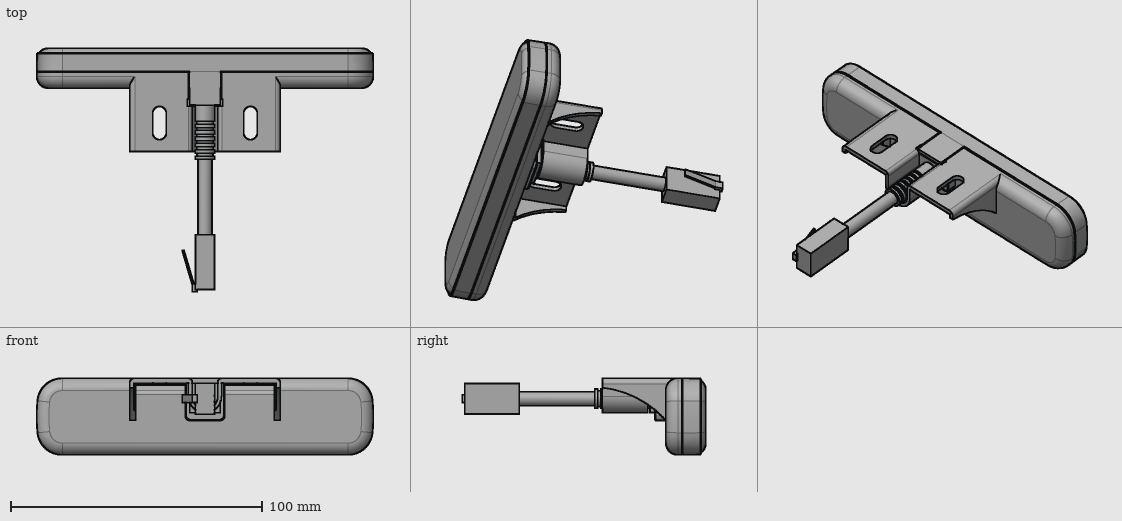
import cadquery as cq
import math


LENGTH = 134.1
HEIGHT = 30.6
TOP = HEIGHT / 2
END_CORNER_DEPTH = 10.2
END_CORNER_RADIUS = 9.9

LENS_DEPTH = 1.9
SEAM_FRONT = 9.1
SEAM_GAP = 0.4
SEAM_INSET = 0.4
BACK_DEPTH = 16.0
BRACKET_DEPTH = 41.2

COVER_DRAFT = 1.0
RIM_CHAMFER = 0.4
LENS_INSET = 0.3
LENS_ROUND = 4.3
TONGUE_WIDTH = 12.5
TONGUE_END = 22.7

BACK_ROUND = 4.8
BRACKET_WIDTH = 60.1
BRACKET_ROUND = 2.1
PLATE = 2.0
SIDE_WALL = 1.6
SIDE_WALL_DROP = 16.8
SIDE_WALL_TIP_DROP = 3.8
SIDE_ARC_MID = (-26.7, 8.3)
STEP = 0.4
STEP_COUNT = 2
STEP_END = 20.2
SLOT_PITCH = 36.2
SLOT_LENGTH = 13.1
SLOT_WIDTH = 5.4
SLOT_DEPTH = 29.8
RECESS_DROP = 6.5
RECESS_SLOPE_DROP = 4.8
RECESS_TOP_DROP = PLATE + STEP_COUNT * STEP
RECESS_ANGLE = 45.0

CHANNEL_OUTER = 6.6
CHANNEL_WALL = 1.5
CHANNEL_INNER = CHANNEL_OUTER - CHANNEL_WALL
CHANNEL_CENTRE = TOP - 7.2
CHANNEL_START = 23.0
CHANNEL_LIP_ROUND = 1.6
COLLAR_WIDTH = 15.8
COLLAR_DROP = 16.9
COLLAR_ROUND = 2.0
NOTCH_WIDTH = 14.1

CABLE_Z = TOP - 8.2
CABLE_RADIUS = 2.8
BLOCK_WIDTH = 12.1
BLOCK_DROP = 13.7
BLOCK_END = 22.3
BOOT_RADIUS = 3.9
BOOT_NECK_RADIUS = 3.2
BOOT_END = 44.2
GROOVE_COUNT = 6
GROOVE_START = 29.1
GROOVE_PITCH = 2.5
GROOVE_WIDTH = 1.1
PLUG_WIDTH = 7.6
PLUG_HEIGHT = 12.2
PLUG_START = 74.2
PLUG_END = 96.0
LATCH_END = 97.0
LATCH_HEIGHT = 3.2
LATCH_FOOT_START = 93.9
LATCH_FOOT_OUT = 1.3
LATCH_FOOT_LAP = 0.7
LATCH_TIP_X = -9.1
LATCH_TIP_Y = -80.5
LATCH_THICKNESS = 0.8


def box(x_range, y_range, z_range):
    """Axis-aligned box between pairs of limits."""
    corner = cq.Vector(min(x_range), min(y_range), min(z_range))
    size = [abs(a - b) for a, b in (x_range, y_range, z_range)]
    return cq.Workplane(cq.Solid.makeBox(*size, corner))


def centred_box(width, y_range, z_range):
    return box((-width / 2, width / 2), y_range, z_range)


def bar_outline(y, inset=0.0):
    """Bar outline in the XZ plane at the given Y, with gently bulged ends; it extrudes toward -Y."""
    half_length = LENGTH / 2 - inset
    half_height = HEIGHT / 2 - inset
    radius = END_CORNER_RADIUS - inset
    depth = END_CORNER_DEPTH - inset
    centre_x = half_length - depth
    centre_z = half_height - radius
    end_radius = (depth**2 + centre_z**2 - radius**2) / (2 * (depth - radius))
    joint_angle = math.atan2(centre_z, centre_x - (half_length - end_radius))
    middle_angle = (joint_angle + math.pi / 2) / 2

    def on_corner(angle):
        return centre_x + radius * math.cos(angle), centre_z + radius * math.sin(angle)

    joint_x, joint_z = on_corner(joint_angle)
    middle_x, middle_z = on_corner(middle_angle)
    return (
        cq.Workplane("XZ", origin=(0, y, 0))
        .moveTo(-centre_x, half_height)
        .lineTo(centre_x, half_height)
        .threePointArc((middle_x, middle_z), (joint_x, joint_z))
        .threePointArc((half_length, 0), (joint_x, -joint_z))
        .threePointArc((middle_x, -middle_z), (centre_x, -half_height))
        .lineTo(-centre_x, -half_height)
        .threePointArc((-middle_x, -middle_z), (-joint_x, -joint_z))
        .threePointArc((-half_length, 0), (-joint_x, joint_z))
        .threePointArc((-middle_x, middle_z), (-centre_x, half_height))
        .close()
    )


def make_front_cover():
    """Cover with domed lens, a core that spans the seam groove, and a tongue over the cable block."""
    rim = bar_outline(-SEAM_FRONT).extrude(-(SEAM_FRONT - LENS_DEPTH), taper=COVER_DRAFT)
    rim = rim.faces(">Y").chamfer(RIM_CHAMFER)
    lens = bar_outline(0, LENS_INSET).extrude(SEAM_FRONT).faces(">Y").edges().fillet(LENS_ROUND)
    lens = lens.intersect(centred_box(LENGTH, (0, -LENS_DEPTH - RIM_CHAMFER), (-TOP, TOP)))
    core = bar_outline(-SEAM_FRONT, SEAM_INSET).extrude(SEAM_GAP)
    tongue = centred_box(TONGUE_WIDTH, (-SEAM_FRONT, -TONGUE_END), (TOP - PLATE, TOP))
    return rim.union(lens).union(core).union(tongue)


def make_bracket():
    """Plate with two side walls whose lower edges sweep up toward the free end."""
    arc_y, arc_drop = SIDE_ARC_MID
    start_y = -SEAM_FRONT - SEAM_GAP
    bracket = (
        cq.Workplane("YZ", origin=(-BRACKET_WIDTH / 2, 0, 0))
        .moveTo(start_y, TOP)
        .lineTo(start_y, TOP - SIDE_WALL_DROP)
        .lineTo(-BACK_DEPTH, TOP - SIDE_WALL_DROP)
        .threePointArc((arc_y, TOP - arc_drop), (-BRACKET_DEPTH, TOP - SIDE_WALL_TIP_DROP))
        .lineTo(-BRACKET_DEPTH, TOP)
        .close()
        .extrude(BRACKET_WIDTH)
    )
    bracket = bracket.edges("|Y and >Z").fillet(BRACKET_ROUND)
    for step in range(STEP_COUNT + 1):
        thicker = step * STEP
        near = -BACK_DEPTH if step == STEP_COUNT else -STEP_END + thicker
        width = BRACKET_WIDTH - 2 * (SIDE_WALL + thicker)
        hollow = centred_box(width, (near, -BRACKET_DEPTH), (-TOP, TOP - PLATE - thicker))
        bracket = bracket.cut(hollow)
    return bracket


def make_recess():
    """Sloped relief cut into the housing's back, under the bracket plate."""
    run = RECESS_SLOPE_DROP - RECESS_TOP_DROP
    slope = math.radians(RECESS_ANGLE)
    arc_radius = (RECESS_DROP - RECESS_SLOPE_DROP) / math.sin(slope)
    slope_y = -BACK_DEPTH + arc_radius * (1 - math.cos(slope))
    width = BRACKET_WIDTH - 2 * (SIDE_WALL + STEP_COUNT * STEP)
    return (
        cq.Workplane("YZ", origin=(-width / 2, 0, 0))
        .moveTo(slope_y + run / math.tan(slope), TOP - RECESS_TOP_DROP)
        .lineTo(slope_y, TOP - RECESS_SLOPE_DROP)
        .tangentArcPoint((-BACK_DEPTH, TOP - RECESS_DROP), relative=False)
        .lineTo(-BACK_DEPTH, TOP - RECESS_TOP_DROP)
        .close()
        .extrude(width)
    )


def channel_profile(radius, y_start, y_end):
    """U-shaped prism, open at TOP, with a full-round bottom."""
    return (
        cq.Workplane("XZ", origin=(0, y_start, 0))
        .moveTo(-radius, TOP)
        .lineTo(-radius, CHANNEL_CENTRE)
        .threePointArc((0, CHANNEL_CENTRE - radius), (radius, CHANNEL_CENTRE))
        .lineTo(radius, TOP)
        .close()
        .extrude(y_start - y_end)
    )


def make_collar():
    """Stepped boss on the housing's back that holds the cable block."""
    start_y = -SEAM_FRONT - SEAM_GAP
    collar = None
    for step in range(STEP_COUNT):
        smaller = (STEP_COUNT - 1 - step) * STEP
        layer = centred_box(
            COLLAR_WIDTH - 2 * smaller,
            (start_y, -STEP_END + step * STEP),
            (TOP - COLLAR_DROP + smaller, TOP - BRACKET_ROUND),
        )
        layer = layer.edges("|Y and <Z").fillet(COLLAR_ROUND - smaller)
        collar = layer if collar is None else collar.union(layer)
    return collar


def make_block():
    """Rectangular cable anchor; also the tool for its own pocket."""
    return centred_box(BLOCK_WIDTH, (-BACK_DEPTH, -BLOCK_END), (TOP - BLOCK_DROP, TOP - PLATE))


def make_rear_housing():
    seam_back = -SEAM_FRONT - SEAM_GAP
    housing = bar_outline(seam_back).extrude(BACK_DEPTH + seam_back)
    housing = housing.faces("<Y").edges().fillet(BACK_ROUND)
    housing = housing.union(make_bracket()).cut(make_recess()).union(make_collar())
    housing = housing.union(channel_profile(CHANNEL_OUTER, -CHANNEL_START, -BRACKET_DEPTH))

    housing = housing.cut(channel_profile(CHANNEL_INNER, -CHANNEL_START, -BRACKET_DEPTH))
    lip_height = TOP - CHANNEL_LIP_ROUND
    lip_x = CHANNEL_INNER + CHANNEL_LIP_ROUND
    lip_cut = centred_box(2 * lip_x, (-CHANNEL_START, -BRACKET_DEPTH), (lip_height, TOP))
    for side in (-1, 1):
        lip_round = (
            cq.Workplane("XZ", origin=(side * lip_x, -CHANNEL_START, lip_height))
            .circle(CHANNEL_LIP_ROUND)
            .extrude(BRACKET_DEPTH - CHANNEL_START)
        )
        lip_cut = lip_cut.cut(lip_round)
    housing = housing.cut(lip_cut)

    tongue_slot_width = TONGUE_WIDTH + 2 * SEAM_GAP
    housing = housing.cut(centred_box(tongue_slot_width, (seam_back, -CHANNEL_START), (TOP - PLATE, TOP)))
    housing = housing.cut(centred_box(NOTCH_WIDTH, (-STEP_END, -CHANNEL_START), (-TOP, TOP)))
    housing = housing.cut(make_block())

    slots = (
        cq.Workplane("XY", origin=(0, -SLOT_DEPTH, TOP - PLATE))
        .pushPoints([(-SLOT_PITCH / 2, 0), (SLOT_PITCH / 2, 0)])
        .slot2D(SLOT_LENGTH, SLOT_WIDTH, 90)
        .extrude(PLATE)
    )
    return housing.cut(slots)


def rod(radius, start, end):
    """Cylinder along the cable axis between two depths."""
    return cq.Workplane("XZ", origin=(0, -start, CABLE_Z)).circle(radius).extrude(end - start)


def make_latch():
    """Spring latch hooked over the plug's nose, with its lever leaning outward."""
    plug_side = -PLUG_WIDTH / 2
    foot_x = plug_side - LATCH_FOOT_OUT
    lever_root_x = foot_x + LATCH_THICKNESS
    return (
        cq.Workplane("XY", origin=(0, 0, CABLE_Z - LATCH_HEIGHT / 2))
        .moveTo(plug_side + LATCH_FOOT_LAP, -LATCH_END)
        .lineTo(foot_x, -LATCH_END)
        .lineTo(foot_x, -LATCH_FOOT_START)
        .lineTo(LATCH_TIP_X, LATCH_TIP_Y)
        .lineTo(LATCH_TIP_X + LATCH_THICKNESS, LATCH_TIP_Y)
        .lineTo(lever_root_x, -LATCH_FOOT_START)
        .lineTo(plug_side, -LATCH_FOOT_START)
        .lineTo(plug_side, -PLUG_END)
        .lineTo(plug_side + LATCH_FOOT_LAP, -PLUG_END)
        .close()
        .extrude(LATCH_HEIGHT)
    )


def make_cable():
    """Anchor block, grooved strain-relief boot, round cable and plug with latch."""
    boot = rod(BOOT_RADIUS, BLOCK_END, BOOT_END)
    for index in range(GROOVE_COUNT):
        start = GROOVE_START + index * GROOVE_PITCH
        groove = rod(BOOT_RADIUS, start, start + GROOVE_WIDTH)
        boot = boot.cut(groove.cut(rod(BOOT_NECK_RADIUS, start, start + GROOVE_WIDTH)))
    plug_z = (CABLE_Z - PLUG_HEIGHT / 2, CABLE_Z + PLUG_HEIGHT / 2)
    plug = centred_box(PLUG_WIDTH, (-PLUG_START, -PLUG_END), plug_z)
    cord = rod(CABLE_RADIUS, BOOT_END, PLUG_START)
    return make_block().union(boot).union(cord).union(plug).union(make_latch())


front_cover = make_front_cover()
rear_housing = make_rear_housing()
cable = make_cable()

result = cq.Compound.makeCompound([body.solids().val() for body in (front_cover, rear_housing, cable)])